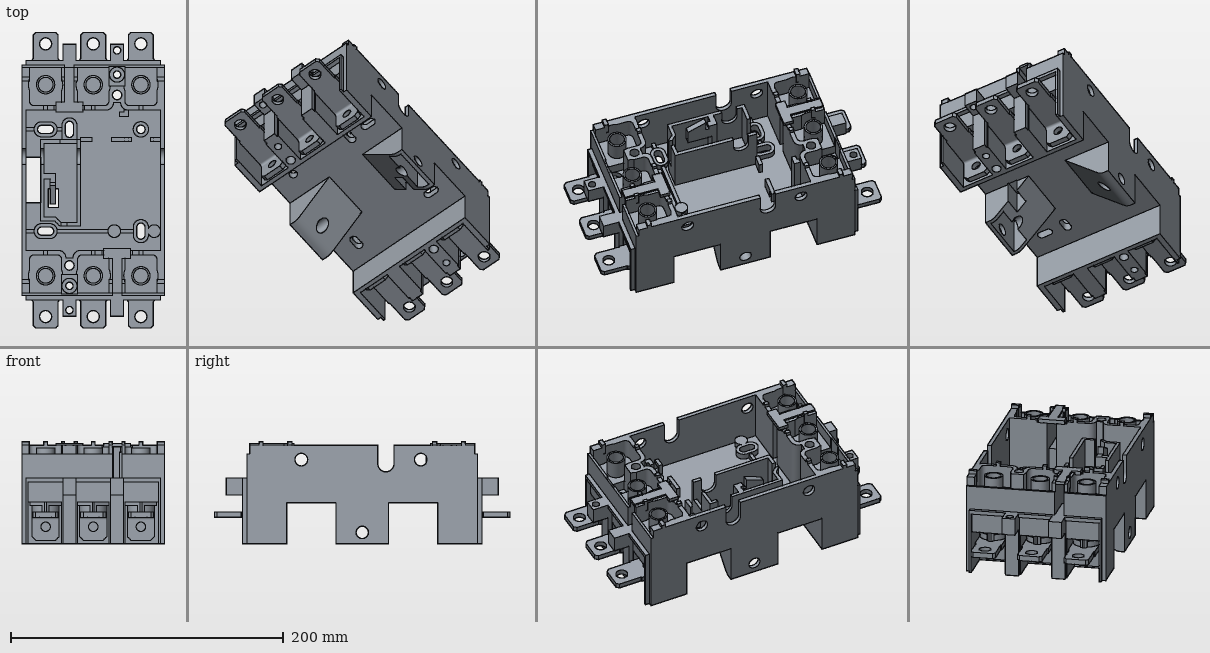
import cadquery as cq
import math

HALF_WIDTH = 52.3
HALF_LENGTH = 84.6
TOP_HALF_LENGTH = 82.7
END_WALL_TOP = 66.0
WALL_TOP = 72.5
PIN_TOP = 75.0
PIN_WIDTH = 2.8
PITCH = 35.0
POLES = (-PITCH, 0, PITCH)
MID_POLE = PITCH / 2

FLOOR_TOP = 32.3
FLOOR_BOTTOM = 30.2
CAVITY_X = 49.3
CAVITY_Y = 51.5
RECESS_WIDTH = 5.2
RECESS_ROUND = 5.6

FLANGE_X = 49.5
FLANGE_Y = 87.9
FLANGE_TOP = 48.4
FLANGE_RIM = 1.5
FLANGE_OPENING_TOP = 45.5
LUG_WIDTH = 9.8
LUG_END = 99.8
LUG_BOTTOM = 35.8
LUG_HOLE_Y = 95.3
SMALL_HOLE = 5.2

POCKET_X = 23.7
MID_POCKET_X = 23.0
POCKET_Y = 54.7
POCKET_FLOOR = 56.5
POCKET_CORNER = 3.5
POCKET_BULGE = 12.5
TUBE_Y = 70.0
TUBE_RADIUS = 6.7
TUBE_BORE = 5.5
TUBE_TOP = 70.5
RIDGE_Y = (72.7, 75.7)

WELL_Y = (69.2, 83.3)
WELL_FLOOR = 48.4
WELL_HOLE_Y = 77.5
COUNTERBORE = 11.0
COUNTERBORE_DEPTH = 4.3
BLOCK_HOLE_Y = 62.5
BLOCK_HOLE = 6.7

CHAMBER_BACK = 58.5
CHAMBER_TOP = 30.5
WEDGE_BOTTOM = 28.2
WEDGE_TIP_Y = 82.2
WEDGE_BACK_Y = 75.5
WEDGE_TIP = 1.4
CLAMP_RIB = 5.0
CLAMP_RADIUS = 10.0

TEE_TOP = 73.8
TEE_BOTTOM = 71.6
TEE_STEM = 7.0
TEE_BAR = 19.7
TEE_BAR_Y = (50.0, 57.3)
TEE_NOTCH = 22.4
TEE_NOTCH_FLOOR = 71.0
GROOVE_END = 58.5

PLATE_TOP = 23.5
PLATE_THICKNESS = 4.0
PLATE_END = 108.5
PLATE_WIDTH = 18.5
PLATE_CORNER = 2.0
PLATE_HOLE_Y = 100.0
PLATE_HOLE = 8.7
ROOT_WIDTH = 20.0
ROOT_END = 89.0
ROOT_CORNER = 0.7
LEG_END = 2.5
LEG_CORNER = 2.8
LEG_HOLE_Z = 12.5
LEG_HOLE = 7.0
BEND_INSIDE = 2.0

WINDOW_Y = (19.3, 55.3)
SIDE_HOLE = 9.1
SIDE_HOLE_Z = 61.8
SIDE_HOLES_Y = (43.0, -44.7)
SLOT_Y = 17.4
SLOT_WIDTH = 11.7
SLOT_BOTTOM = 53.0

RAIL_HOLE = 9.0
RAIL_HOLE_Z = 8.5
LEG_FLAT = 3.0
LEG_ROUND = 8.7
LEG_SLOPE = math.radians(45)

BOX_TOP = 67.3
BOX_LOW_TOP = 50.0
BOX_GAP_BOTTOM = 43.5
BOX_X = (-38.6, -9.3)
BOX_Y = (-33.6, 29.7)
BOX_WALL = 2.5
BOX_SIDE_WALL = 2.4
BOX_STEP_X = (-28.5, -24.5)
BOX_STEP_Y = -29.7
BOX_GAP_X = (-23.7, -19.0)

HOOK_Y = (0.9, 5.0)
ARM_X = (-31.7, -27.5)
ARM_NOTCH_Y = (-3.7, -1.5)
ARM_NOTCH_FLOOR = 64.0
ARM_HIGH = 72.3
ARM_END_Y = -17.5
ARM_LOW = 66.5
ARM_BOTTOM = 54.2

BOSS_TOP = 37.0
SLOT_LENGTH = 11.7
SLOT_ACROSS = 5.9
BOSS_RIM = 2.5
FLOOR_RIB_TOP = 35.8
FLOOR_RIB = 2.5
TALL_RIB_TOP = 41.2
RIB_BRIDGE_BOTTOM = 38.5
TALL_RIBS_X = ((BOX_X[1], -0.9), (13.2, 28.0), (42.0, CAVITY_X))
RIB_OPENINGS_X = ((23.0, 26.0), (44.0, CAVITY_X))
TALL_RIB_Y = (28.5, 31.2)
SLOT_ROW = 37.3
FLOOR_HOLE = 6.0
STUD = 9.3
STUDS_X = (15.5, 44.7)
SIDE_WINDOW_Y = (-16.5, 16.7)
LATCH_WINDOW_X = (-33.0, -25.5)
LATCH_WINDOW_Y = (-20.0, -6.3)

POST_X = (19.3, 25.8)
POST_Y = 46.7
POST_WALL = 3.3
POST_TOP = 67.3

SLOTS = (
    (-PITCH, SLOT_ROW, False),
    (-PITCH, -SLOT_ROW, False),
    (-MID_POLE, SLOT_ROW, True),
    (PITCH, -SLOT_ROW, True),
)


def box(x, y, z):
    """Block between the given (low, high) limits along X, Y and Z."""
    return cq.Workplane("XY").box(x[1] - x[0], y[1] - y[0], z[1] - z[0], centered=False).translate(
        (x[0], y[0], z[0])
    )


def span(centre, width):
    return (centre - width / 2, centre + width / 2)


def cylinder(x, y, radius, z):
    return cq.Workplane("XY").circle(radius).extrude(z[1] - z[0]).translate((x, y, z[0]))


def prism(points, z):
    return cq.Workplane("XY").polyline(points).close().extrude(z[1] - z[0]).translate((0, 0, z[0]))


def fuse(shapes):
    """One shape from several."""
    whole = shapes[0]
    for shape in shapes[1:]:
        whole = whole.union(shape)
    return whole


def both_ends(shape):
    """The shape at the +Y end together with its half-turn copy at the -Y end."""
    return shape.union(shape.rotate((0, 0, 0), (0, 0, 1), 180))


def outer_block():
    body = box((-HALF_WIDTH, HALF_WIDTH), (-HALF_LENGTH, HALF_LENGTH), (0, END_WALL_TOP))
    body = body.union(
        box((-HALF_WIDTH, HALF_WIDTH), (-TOP_HALF_LENGTH, TOP_HALF_LENGTH), (END_WALL_TOP, WALL_TOP))
    )
    return body.union(box((-FLANGE_X, FLANGE_X), (-FLANGE_Y, FLANGE_Y), (0, FLANGE_TOP)))


def cavity():
    """Main room, with a round-cornered recess in the wall beside each screw block."""
    room = box((-CAVITY_X, CAVITY_X), (-CAVITY_Y, CAVITY_Y), (FLOOR_TOP, WALL_TOP))
    radius = RECESS_ROUND
    half = RECESS_WIDTH / 2
    y_in = CAVITY_Y + radius
    recess = (
        cq.Workplane("XY")
        .moveTo(-half - radius, CAVITY_Y)
        .radiusArc((-half, y_in), -radius)
        .lineTo(half, y_in)
        .radiusArc((half + radius, CAVITY_Y), -radius)
        .close()
        .extrude(WALL_TOP - FLOOR_TOP)
        .translate((MID_POLE, 0, FLOOR_TOP))
    )
    return room.union(both_ends(recess))


def underside_clearance():
    """Space below the floor: side windows, and the gap between the two centre legs."""
    windows = box((-HALF_WIDTH, HALF_WIDTH), WINDOW_Y, (0, FLOOR_BOTTOM))
    tangent = LEG_ROUND * math.tan(LEG_SLOPE / 2)
    corner = -HALF_WIDTH + LEG_FLAT + tangent
    round_x = corner + tangent * math.cos(LEG_SLOPE)
    round_z = tangent * math.sin(LEG_SLOPE)
    top = corner + FLOOR_BOTTOM / math.tan(LEG_SLOPE)
    gap = (
        cq.Workplane("XZ")
        .moveTo(-HALF_WIDTH + LEG_FLAT, 0)
        .radiusArc((round_x, round_z), -LEG_ROUND)
        .lineTo(top, FLOOR_BOTTOM)
        .lineTo(-top, FLOOR_BOTTOM)
        .lineTo(-round_x, round_z)
        .radiusArc((HALF_WIDTH - LEG_FLAT, 0), -LEG_ROUND)
        .close()
        .extrude(WINDOW_Y[0], both=True)
    )
    return both_ends(windows).union(gap)


def side_openings():
    """Round holes and the open-topped slot that pass through both side walls."""
    cuts = (
        cq.Workplane("YZ")
        .pushPoints([(y, SIDE_HOLE_Z) for y in SIDE_HOLES_Y])
        .circle(SIDE_HOLE / 2)
        .pushPoints([(0, RAIL_HOLE_Z)])
        .circle(RAIL_HOLE / 2)
        .extrude(HALF_WIDTH, both=True)
    )
    radius = SLOT_WIDTH / 2
    slot = box((-HALF_WIDTH, HALF_WIDTH), span(SLOT_Y, SLOT_WIDTH), (SLOT_BOTTOM + radius, WALL_TOP))
    round_end = (
        cq.Workplane("YZ").center(SLOT_Y, SLOT_BOTTOM + radius).circle(radius).extrude(HALF_WIDTH, both=True)
    )
    return cuts.union(slot).union(round_end)


def pockets():
    cuts = []
    for x in POLES:
        width = POCKET_X if x else MID_POCKET_X
        room = box(span(x, width), (POCKET_Y, TOP_HALF_LENGTH), (POCKET_FLOOR, WALL_TOP))
        room = room.edges("|Z and <Y").fillet(POCKET_CORNER)
        room = room.union(cylinder(x, TUBE_Y, POCKET_BULGE, (POCKET_FLOOR, WALL_TOP)))
        cuts.append(room)
    return fuse(cuts)


def chambers():
    """Terminal chambers open to the end and below, with the recess in the flange."""
    cuts = []
    inner = MID_POLE - LUG_WIDTH / 2
    outer = MID_POLE + LUG_WIDTH / 2
    side = FLANGE_X - FLANGE_RIM
    narrow = POCKET_X / 2
    openings = (
        ((-side, -outer), (-side, -PITCH + narrow)),
        ((-inner, inner), span(0, MID_POCKET_X)),
        ((outer, side), (PITCH - narrow, side)),
    )
    for opening, room in openings:
        cut = box(opening, (HALF_LENGTH, FLANGE_Y), (0, FLANGE_OPENING_TOP))
        cut = cut.union(box(room, (CHAMBER_BACK, HALF_LENGTH), (0, CHAMBER_TOP)))
        cuts.append(cut)
    return fuse(cuts)


def clamp_supports():
    """Ceiling wedge, rib and round boss that rest on each terminal plate."""
    parts = []
    half = MID_POCKET_X / 2
    tip = WEDGE_TIP / 2
    slope = (WEDGE_TIP_Y - WEDGE_BACK_Y) / (half - tip)
    rib = CLAMP_RIB / 2
    rib_y = WEDGE_TIP_Y - slope * (rib - tip)
    for x in POLES:
        wedge = prism(
            [
                (x - half, CHAMBER_BACK), (x - half, WEDGE_BACK_Y), (x - tip, WEDGE_TIP_Y),
                (x + tip, WEDGE_TIP_Y), (x + half, WEDGE_BACK_Y), (x + half, CHAMBER_BACK),
            ],
            (WEDGE_BOTTOM, CHAMBER_TOP),
        )
        nose = prism(
            [
                (x - rib, TUBE_Y), (x - rib, rib_y), (x - tip, WEDGE_TIP_Y),
                (x + tip, WEDGE_TIP_Y), (x + rib, rib_y), (x + rib, TUBE_Y),
            ],
            (PLATE_TOP, CHAMBER_TOP),
        )
        boss = cylinder(x, TUBE_Y, CLAMP_RADIUS, (PLATE_TOP, CHAMBER_TOP))
        parts.append(wedge.union(nose).union(boss))
    return fuse(parts)


def lugs():
    z = (LUG_BOTTOM, FLANGE_TOP)
    return fuse([box(span(x, LUG_WIDTH), (HALF_LENGTH, LUG_END), z) for x in (-MID_POLE, MID_POLE)])


def screw_well():
    """Well with its screw hole, the hole in the block behind it and the hole in the lug."""
    cut = box((MID_POCKET_X / 2, PITCH - POCKET_X / 2), WELL_Y, (WELL_FLOOR, WALL_TOP))
    cut = cut.union(
        cylinder(MID_POLE, WELL_HOLE_Y, COUNTERBORE / 2, (WELL_FLOOR - COUNTERBORE_DEPTH, WELL_FLOOR))
    )
    for y, diameter in ((WELL_HOLE_Y, SMALL_HOLE), (LUG_HOLE_Y, SMALL_HOLE), (BLOCK_HOLE_Y, BLOCK_HOLE)):
        cut = cut.union(cylinder(MID_POLE, y, diameter / 2, (0, WALL_TOP)))
    return cut


def tubes():
    return fuse([cylinder(x, TUBE_Y, TUBE_RADIUS, (POCKET_FLOOR, TUBE_TOP)) for x in POLES])


def tube_bores():
    return fuse([cylinder(x, TUBE_Y, TUBE_BORE, (PLATE_TOP, TUBE_TOP)) for x in POLES])


def tee_channel():
    """Channel through the block below the T-shaped bridge, and the notch for its bar."""
    channel = box(span(-MID_POLE, TEE_STEM), (CAVITY_Y, HALF_LENGTH), (FLANGE_TOP, WALL_TOP))
    notch = box(span(-MID_POLE, TEE_NOTCH), (CAVITY_Y, POCKET_Y), (TEE_NOTCH_FLOOR, WALL_TOP))
    groove = box(span(-MID_POLE, TEE_STEM), (CAVITY_Y, GROOVE_END), (FLOOR_TOP, WALL_TOP))
    return channel.union(notch).union(groove)


def tee_bridge():
    stem = box(span(-MID_POLE, TEE_STEM), (CAVITY_Y, TOP_HALF_LENGTH), (TEE_BOTTOM, TEE_TOP))
    bar = box(span(-MID_POLE, TEE_BAR), TEE_BAR_Y, (TEE_NOTCH_FLOOR, TEE_TOP))
    return stem.union(bar)


def ridges():
    """Low ridges on the wall tops, and a pin on the inner wall of each pocket."""
    corner = PITCH + POCKET_X / 2
    inner = MID_POLE - TEE_STEM / 2
    outer = MID_POLE + TEE_STEM / 2
    x_ranges = (
        (-HALF_WIDTH, -corner),
        (corner, HALF_WIDTH),
        (-PITCH + POCKET_X / 2, -outer),
        (-inner, -MID_POCKET_X / 2),
    )
    z = (END_WALL_TOP, PIN_TOP)
    parts = [box(x_range, RIDGE_Y, z) for x_range in x_ranges]
    for x in POLES:
        parts.append(box(span(x, PIN_WIDTH), (CAVITY_Y, POCKET_Y), z))
    return fuse(parts)


def inner_box():
    """Walled box on the floor, with a low stretch of +Y wall and a gap in its -Y wall."""
    left, right = BOX_X
    low, high = BOX_Y
    inner_left = left + BOX_SIDE_WALL
    inner_right = right - BOX_WALL
    inner_low = low + BOX_WALL
    outline = [
        (left, high), (right, high), (right, low),
        (BOX_STEP_X[1], low), (BOX_STEP_X[0], BOX_STEP_Y), (left, BOX_STEP_Y),
    ]
    step_top = BOX_STEP_Y + BOX_WALL
    step_x = BOX_GAP_X[0] - (step_top - inner_low)
    inside = [
        (inner_left, high - BOX_WALL), (inner_right, high - BOX_WALL), (inner_right, inner_low),
        (BOX_GAP_X[0], inner_low), (step_x, step_top), (inner_left, step_top),
    ]
    z = (FLOOR_BOTTOM, BOX_TOP)
    walls = prism(outline, z).cut(prism(inside, z))
    walls = walls.cut(box((BOX_STEP_X[1], inner_right), (high - BOX_WALL, high), (BOX_LOW_TOP, BOX_TOP)))
    return walls.cut(box(BOX_GAP_X, (low, inner_low), (BOX_GAP_BOTTOM, BOX_TOP)))


def latch_arm():
    """Hook on the side wall of the inner box, carrying a sloping arm."""
    hook = box((BOX_X[0] + BOX_WALL / 2, ARM_X[1]), HOOK_Y, (FLOOR_BOTTOM, BOX_TOP))
    arm = (
        cq.Workplane("YZ")
        .polyline(
            [
                (HOOK_Y[0], BOX_TOP), (ARM_NOTCH_Y[1], BOX_TOP), (ARM_NOTCH_Y[1], ARM_NOTCH_FLOOR),
                (ARM_NOTCH_Y[0], ARM_NOTCH_FLOOR), (ARM_NOTCH_Y[0], ARM_HIGH), (ARM_END_Y, ARM_LOW),
                (ARM_END_Y, ARM_BOTTOM), (HOOK_Y[0], ARM_BOTTOM),
            ]
        )
        .close()
        .extrude(ARM_X[1] - ARM_X[0])
        .translate((ARM_X[0], 0, 0))
    )
    return hook.union(arm)


def floor_slot(x, y, along_y, width=SLOT_ACROSS, length=SLOT_LENGTH):
    angle = 90 if along_y else 0
    height = BOSS_TOP - FLOOR_BOTTOM
    return cq.Workplane("XY").slot2D(length, width, angle).extrude(height).translate((x, y, FLOOR_BOTTOM))


def floor_bosses():
    """Raised rims around the floor holes and slots, two studs and the low ribs joining them."""
    parts = cylinder(PITCH, SLOT_ROW, FLOOR_HOLE / 2 + BOSS_RIM, (FLOOR_BOTTOM, BOSS_TOP))
    rim_width = SLOT_ACROSS + 2 * BOSS_RIM
    rim_length = SLOT_LENGTH + 2 * BOSS_RIM
    for x, y, along_y in SLOTS:
        parts = parts.union(floor_slot(x, y, along_y, rim_width, rim_length))
    neck = box(span(-MID_POLE, rim_width), (BOX_Y[1], SLOT_ROW), (FLOOR_BOTTOM, BOSS_TOP))
    parts = parts.union(neck)
    for x in STUDS_X:
        parts = parts.union(cylinder(x, -SLOT_ROW, STUD / 2, (FLOOR_BOTTOM, BOSS_TOP)))
    z = (FLOOR_BOTTOM, FLOOR_RIB_TOP)
    parts = parts.union(box((-CAVITY_X, -MID_POLE), span(SLOT_ROW, FLOOR_RIB), z))
    return parts.union(box((-CAVITY_X, PITCH), span(-SLOT_ROW, FLOOR_RIB), z))


def tall_ribs():
    """Row of three ribs; two of them have a low opening beside an end post."""
    row = fuse([box(x, TALL_RIB_Y, (FLOOR_BOTTOM, TALL_RIB_TOP)) for x in TALL_RIBS_X])
    openings = fuse([box(x, TALL_RIB_Y, (FLOOR_TOP, RIB_BRIDGE_BOTTOM)) for x in RIB_OPENINGS_X])
    return row.cut(openings)


def floor_openings():
    cuts = cylinder(PITCH, SLOT_ROW, FLOOR_HOLE / 2, (FLOOR_BOTTOM, BOSS_TOP))
    for x, y, along_y in SLOTS:
        cuts = cuts.union(floor_slot(x, y, along_y))
    cuts = cuts.union(box((-CAVITY_X, BOX_X[0]), SIDE_WINDOW_Y, (0, FLOOR_TOP)))
    return cuts.union(box(LATCH_WINDOW_X, LATCH_WINDOW_Y, (0, FLOOR_TOP)))


def cavity_post():
    """L-shaped post standing against the +Y wall of the cavity."""
    z = (FLOOR_BOTTOM, POST_TOP)
    stem = box((POST_X[1] - POST_WALL, POST_X[1]), (POST_Y, CAVITY_Y), z)
    return stem.union(box(POST_X, (POST_Y, POST_Y + POST_WALL), z))


def build_housing():
    body = outer_block().cut(cavity()).cut(underside_clearance())
    body = body.union(inner_box()).cut(side_openings()).union(cavity_post())
    body = body.union(floor_bosses()).union(tall_ribs()).cut(floor_openings())
    body = body.union(latch_arm())
    body = body.union(both_ends(lugs()))
    body = body.cut(both_ends(pockets())).cut(both_ends(chambers())).cut(both_ends(screw_well()))
    body = body.union(both_ends(clamp_supports())).union(both_ends(tubes()))
    body = body.cut(both_ends(tube_bores())).cut(both_ends(tee_channel()))
    return body.union(both_ends(tee_bridge())).union(both_ends(ridges()))


def build_terminal(x):
    """Angled terminal of the +Y end: outer plate with a bolt hole and a leg bent down inside."""
    z = (PLATE_TOP - PLATE_THICKNESS, PLATE_TOP)
    leg_y = (CHAMBER_BACK, CHAMBER_BACK + PLATE_THICKNESS)
    root = box(span(0, ROOT_WIDTH), (CHAMBER_BACK, ROOT_END), z).edges("|Z and >Y").chamfer(ROOT_CORNER)
    plate = box(span(0, PLATE_WIDTH), (CHAMBER_BACK, PLATE_END), z).edges("|Z and >Y").chamfer(PLATE_CORNER)
    leg = box(span(0, ROOT_WIDTH), leg_y, (LEG_END, PLATE_TOP)).edges("|Y and <Z").chamfer(LEG_CORNER)
    bend_y = leg_y[1] + BEND_INSIDE
    bend_z = z[0] - BEND_INSIDE
    bend_round = cq.Workplane("YZ").center(bend_y, bend_z).circle(BEND_INSIDE).extrude(ROOT_WIDTH, both=True)
    bend = box(span(0, ROOT_WIDTH), (leg_y[1], bend_y), (bend_z, z[0])).cut(bend_round)
    body = root.union(plate).union(leg).union(bend)
    body = body.cut(cylinder(0, PLATE_HOLE_Y, PLATE_HOLE / 2, z))
    leg_hole = cq.Workplane("XZ").center(0, LEG_HOLE_Z).circle(LEG_HOLE / 2).extrude(-leg_y[1])
    return body.cut(leg_hole).translate((x, 0, 0))


housing = build_housing()
terminals = []
for pole in POLES:
    terminal = build_terminal(pole)
    terminals.append(terminal.val())
    terminals.append(terminal.rotate((0, 0, 0), (0, 0, 1), 180).val())

result = cq.Compound.makeCompound([*housing.solids().vals(), *terminals])